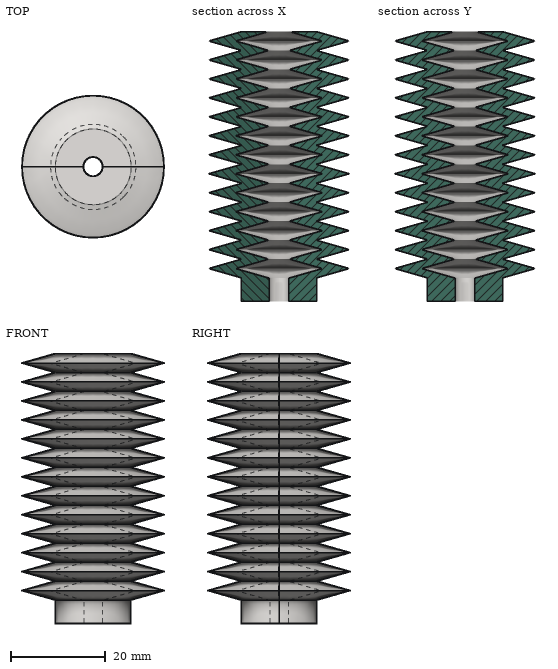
import cadquery as cq

fold_count = 13
fold_pitch = 4.0
crest_radius = 15.0
root_radius = 8.0
bore_radius = 2.0
collar_height = 5.0

wall_thickness = root_radius - bore_radius
half_count = 2
half_angle = 360.0 / half_count


def zigzag(radial_inset):
    """Points (radius, z) up the collar and the folds, moved inwards by radial_inset."""
    root = root_radius - radial_inset
    crest = crest_radius - radial_inset
    points = [(root, 0), (root, collar_height)]
    for fold in range(fold_count):
        fold_base = collar_height + fold * fold_pitch
        points.append((crest, fold_base + fold_pitch / 2))
        points.append((root, fold_base + fold_pitch))
    return points


def bellows_half(start_angle):
    """One half of the bellows: the wall section swept half a turn about Z."""
    outer_side = zigzag(0)
    inner_side = zigzag(wall_thickness)
    section = cq.Workplane("XZ").polyline(outer_side + inner_side[::-1]).close()
    half = section.revolve(half_angle, (0, 0, 0), (0, 1, 0))
    return half.rotate((0, 0, 0), (0, 0, 1), start_angle)


halves = [bellows_half(index * half_angle) for index in range(half_count)]

result = cq.Compound.makeCompound([half.val() for half in halves])